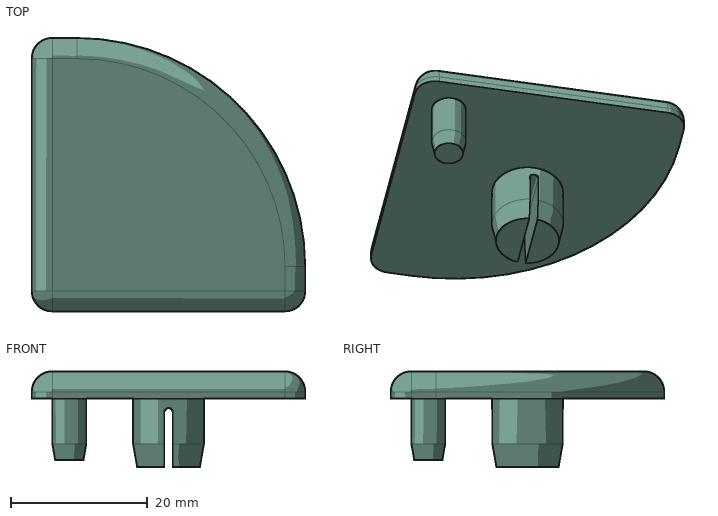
import cadquery as cq

side = 40.0
plate_height = 4.0
edge_radius = 3.0
straight_end = 6.6
arc_radius = side - straight_end

small_pin_diameter = 5.0
small_pin_radius = small_pin_diameter / 2
small_pin_tip_radius = 2.1
small_pin_length = 9.0
small_pin_center = edge_radius + small_pin_radius
large_pin_radius = 5.2
large_pin_tip_radius = 4.6
large_pin_length = 10.0
large_pin_center = side / 2
pin_straight_length = 6.55

slot_width = 1.2
slot_top = -1.4


def make_plate():
    """Quarter-round plate with rounded corners and a rounded top edge."""
    plate = (
        cq.Workplane("XY")
        .lineTo(side, 0)
        .lineTo(side, straight_end)
        .radiusArc((straight_end, side), -arc_radius)
        .lineTo(0, side)
        .close()
        .extrude(plate_height)
    )
    reach = 0.4
    for x, y in [(0, 0), (side, 0), (0, side)]:
        low = (x - reach, y - reach, 0)
        high = (x + reach, y + reach, plate_height)
        around_corner = cq.selectors.BoxSelector(low, high)
        plate = plate.edges(around_corner).edges("|Z").fillet(edge_radius)
    return plate.faces(">Z").edges().fillet(edge_radius)


def make_pin(center, radius, tip_radius, length):
    """Round pin with a tapered tip, hanging from Z = 0 at X = Y = center."""
    profile = (
        cq.Workplane("XZ")
        .lineTo(radius, 0)
        .lineTo(radius, -pin_straight_length)
        .lineTo(tip_radius, -length)
        .lineTo(0, -length)
        .close()
    )
    return profile.revolve(360, (0, 0, 0), (0, 1, 0)).translate((center, center, 0))


def make_slot():
    """Cutter for the slot, open at the pin tip and round at its top."""
    half_width = slot_width / 2
    return (
        cq.Workplane("XZ")
        .moveTo(-half_width, -large_pin_length)
        .lineTo(-half_width, slot_top - half_width)
        .threePointArc((0, slot_top), (half_width, slot_top - half_width))
        .lineTo(half_width, -large_pin_length)
        .close()
        .extrude(large_pin_radius, both=True)
        .translate((large_pin_center, large_pin_center, 0))
    )


small_pin = make_pin(small_pin_center, small_pin_radius, small_pin_tip_radius, small_pin_length)
large_pin = make_pin(large_pin_center, large_pin_radius, large_pin_tip_radius, large_pin_length)
result = make_plate().union(small_pin).union(large_pin.cut(make_slot()))